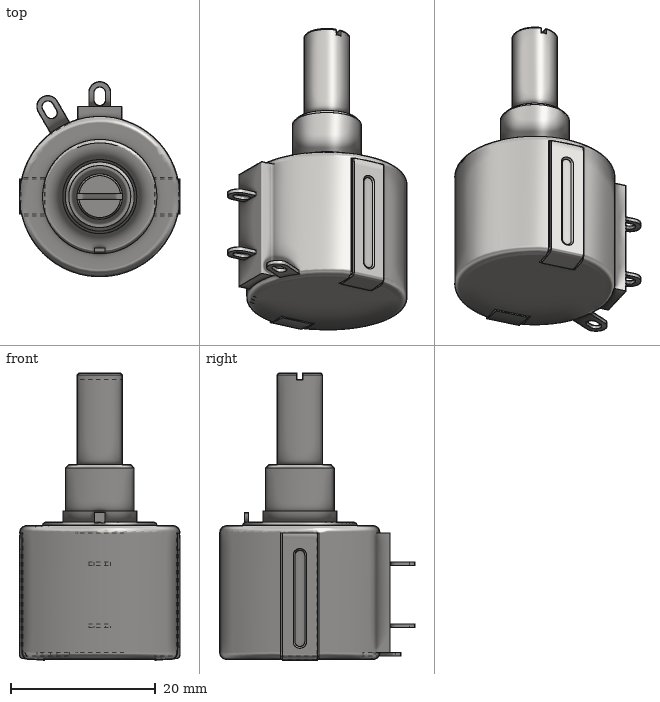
import cadquery as cq
import math


total_height = 39.75
base_z = 0.1
body_radius = 11.1
body_top_z = 18.65
body_fillet = 1.0
wall_bottom_z = base_z + body_fillet
wall_top_z = body_top_z - body_fillet

disc_radius = 7.9
disc_height = 0.48
collar_radius = 5.13
collar_top_z = 20.65
bushing_radius = 4.75
bushing_top_z = 27.05
bushing_chamfer = 0.48
shaft_radius = 3.15
shaft_chamfer = 0.25
slot_width = 0.8
slot_depth = 0.9

disc_top_z = body_top_z + disc_height
key_width = 1.4
key_thickness = 0.6
key_centre_y = -7.4
key_top_z = 20.43

block_width = 6.12
block_back_y = 12.48
block_corner_radius = 0.1
block_root_radius = 0.3
lug_width = 3.02
lug_thickness = 0.5
lug_tip_y = 15.9
lug_root_y = 8.75
lug_hole_width = 1.6
lug_hole_length = 2.55
lug_hole_centre_y = 13.85
lug_placements = [(13.1, 0), (4.55, 0), (0.6, 30)]

channel_width = 5.33
channel_depth = 0.48
channel_end_x = 7.55
clip_width = 4.8
clip_face_x = 11.107
clip_tip_x = 7.65
clip_core_x = body_radius - 2 * channel_depth
clip_heel_z = 0.25
clip_heel_radius = 0.55
clip_lean_start_z = 16.75
clip_lean = 0.1
bead_width = 1.83
bead_bottom_z = 1.65
bead_top_z = 15.45
bead_depth = 0.25


def cylinder(radius, bottom_z, top_z):
    return cq.Workplane("XY").workplane(offset=bottom_z).circle(radius).extrude(top_z - bottom_z)


def make_housing():
    drum = cylinder(body_radius, base_z, body_top_z).edges().fillet(body_fillet)
    block = (
        cq.Workplane("XY")
        .workplane(offset=wall_bottom_z)
        .center(0, block_back_y / 2)
        .rect(block_width, block_back_y)
        .extrude(wall_top_z - wall_bottom_z)
        .edges("|Z and >Y")
        .fillet(block_corner_radius)
    )
    root_y = math.sqrt(body_radius**2 - (block_width / 2) ** 2)
    root_box = cq.selectors.BoxSelector(
        (-block_width, root_y - block_root_radius, wall_bottom_z),
        (block_width, root_y + block_root_radius, wall_top_z),
    )
    wall = cylinder(body_radius, wall_bottom_z, wall_top_z).union(block)
    wall = wall.edges("|Z").edges(root_box).fillet(block_root_radius)
    return drum.union(wall)


def make_front_end():
    disc = cylinder(disc_radius, body_top_z - disc_height, disc_top_z)
    disc = disc.faces(">Z").edges().fillet(disc_height)
    collar = cylinder(collar_radius, body_top_z, collar_top_z)
    bushing = cylinder(bushing_radius, body_top_z, bushing_top_z)
    bushing = bushing.faces(">Z").edges().chamfer(bushing_chamfer)
    shaft = cylinder(shaft_radius, body_top_z, total_height)
    shaft = shaft.faces(">Z").edges().chamfer(shaft_chamfer)
    driver_slot = cq.Workplane("XY").box(3 * shaft_radius, slot_width, 2 * slot_depth)
    shaft = shaft.cut(driver_slot.translate((0, 0, total_height)))
    key_height = key_top_z - body_top_z
    key = cq.Workplane("XY").box(key_width, key_thickness, key_height)
    key = key.translate((0, key_centre_y, key_top_z - key_height / 2))
    return disc.union(collar).union(bushing).union(shaft).union(key)


def make_lug(underside_z, turn):
    tip_centre_y = lug_tip_y - lug_width / 2
    plane = cq.Workplane("XY").workplane(offset=underside_z)
    lug = (
        plane.moveTo(-lug_width / 2, lug_root_y)
        .lineTo(-lug_width / 2, tip_centre_y)
        .threePointArc((0, lug_tip_y), (lug_width / 2, tip_centre_y))
        .lineTo(lug_width / 2, lug_root_y)
        .close()
        .extrude(lug_thickness)
    )
    hole = plane.center(0, lug_hole_centre_y).slot2D(lug_hole_length, lug_hole_width, 90)
    lug = lug.cut(hole.extrude(lug_thickness))
    return lug.rotate((0, 0, 0), (0, 0, 1), turn)


def make_clip_channel():
    """L-shaped channel up the +X wall and along the base."""
    outside_x = 2 * body_radius
    floor_x = body_radius - channel_depth
    ceiling_z = base_z + channel_depth
    return (
        cq.Workplane("XZ")
        .moveTo(channel_end_x, -base_z)
        .lineTo(outside_x, -base_z)
        .lineTo(outside_x, wall_top_z)
        .lineTo(floor_x, wall_top_z)
        .lineTo(floor_x, ceiling_z)
        .lineTo(channel_end_x, ceiling_z)
        .close()
        .extrude(channel_width / 2, both=True)
    )


def make_clip():
    """Clip on the +X side: the foot dips to its tip and the top leans inwards."""
    heel_inset = clip_heel_radius * (1 - math.sqrt(0.5))
    core_z = base_z + 2 * channel_depth
    clip = (
        cq.Workplane("XZ")
        .moveTo(clip_tip_x, 0)
        .lineTo(clip_face_x - clip_heel_radius, clip_heel_z)
        .threePointArc(
            (clip_face_x - heel_inset, clip_heel_z + heel_inset),
            (clip_face_x, clip_heel_z + clip_heel_radius),
        )
        .lineTo(clip_face_x, clip_lean_start_z)
        .tangentArcPoint((clip_face_x - clip_lean, wall_top_z), relative=False)
        .lineTo(clip_core_x, wall_top_z)
        .lineTo(clip_core_x, core_z)
        .lineTo(clip_tip_x, core_z)
        .close()
        .extrude(clip_width / 2, both=True)
    )
    bead = (
        cq.Workplane("YZ")
        .workplane(offset=clip_face_x)
        .center(0, (bead_bottom_z + bead_top_z) / 2)
        .slot2D(bead_top_z - bead_bottom_z, bead_width, 90)
        .extrude(-bead_depth, taper=45)
    )
    return clip.cut(bead)


result = make_housing().union(make_front_end())
for underside_z, turn in lug_placements:
    result = result.union(make_lug(underside_z, turn))

z_axis = ((0, 0, 0), (0, 0, 1))
for side_turn in (0, 180):
    result = result.cut(make_clip_channel().rotate(*z_axis, side_turn))
    result = result.union(make_clip().rotate(*z_axis, side_turn))